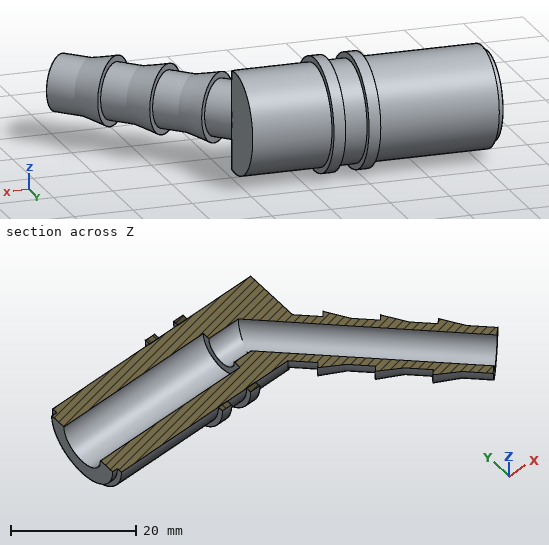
import cadquery as cq
import math

overall_length = 65.9

barrel_radius = 8.5
barrel_length = 42.6
lip_radius = 7.5
lip_length = 1.0

ring_radius = 9.5
ring_width = 2.0
first_ring_start = 21.35
ring_pitch = 5.9
ring_count = 2

bend_angle = math.radians(45)
tail_radius = 4.75
neck_length = 4.8
barb_radius = 5.8
barb_length = 4.6
barb_pitch = 9.2
barb_count = 3

bore_radius = 3.1
socket_radius = 4.5
socket_depth = first_ring_start + ring_pitch + ring_width

bend_x = barrel_length - barrel_radius
bend_cos = math.cos(bend_angle)
bend_sin = math.sin(bend_angle)
bend_point = cq.Vector(bend_x, 0, 0)
tail_direction = cq.Vector(bend_cos, -bend_sin, 0)

flat_distance = (barrel_radius - tail_radius * bend_sin) / bend_cos
tail_end = (overall_length - bend_x - tail_radius * bend_sin) / bend_cos


def cylinder_along_x(start, length, radius):
    return cq.Workplane("YZ", origin=(start, 0, 0)).circle(radius).extrude(length)


def make_barrel():
    """Barrel with a stepped lip, cut by a flat square to the hose tail."""
    lip = cylinder_along_x(0, lip_length, lip_radius)
    barrel = cylinder_along_x(lip_length, barrel_length - lip_length, barrel_radius).union(lip)
    flat_plane = cq.Plane(
        origin=(bend_point + tail_direction * flat_distance).toTuple(),
        xDir=(0, 0, 1),
        normal=tail_direction.toTuple(),
    )
    corner_size = 4 * barrel_radius
    corner = cq.Workplane(flat_plane).rect(corner_size, corner_size).extrude(corner_size)
    return barrel.cut(corner)


def make_hose_tail():
    """Revolved tail: each barb steps out sharply, then tapers back to the tube toward the tip."""
    tail_plane = cq.Plane(origin=bend_point.toTuple(), xDir=tail_direction.toTuple(), normal=(0, 0, 1))
    profile = cq.Workplane(tail_plane).moveTo(flat_distance, 0).lineTo(flat_distance, tail_radius)
    for index in range(barb_count):
        barb_start = flat_distance + neck_length + index * barb_pitch
        profile = profile.lineTo(barb_start, tail_radius)
        profile = profile.lineTo(barb_start, barb_radius)
        profile = profile.lineTo(barb_start + barb_length, tail_radius)
    profile = profile.lineTo(tail_end, tail_radius).lineTo(tail_end, 0).close()
    return profile.revolve(360, (0, 0, 0), (1, 0, 0))


def make_passage():
    """Mitred bore along both axes, widened to a socket at the barrel's open end."""
    bore_path = cq.Workplane("XY").polyline(
        [(0, 0, 0), bend_point.toTuple(), (bend_point + tail_direction * tail_end).toTuple()]
    )
    bore = cq.Workplane("YZ").circle(bore_radius).sweep(bore_path, transition="right")
    socket = cylinder_along_x(0, socket_depth, socket_radius)
    return bore.union(socket)


def make_ring(start):
    """Plain ring whose inner face fits the barrel."""
    return (
        cq.Workplane("YZ", origin=(start, 0, 0)).circle(ring_radius).circle(barrel_radius).extrude(ring_width)
    )


elbow_fitting = make_barrel().union(make_hose_tail()).cut(make_passage()).solids()
rings = [make_ring(first_ring_start + index * ring_pitch) for index in range(ring_count)]

result = cq.Compound.makeCompound([elbow_fitting.val(), *[ring.val() for ring in rings]])